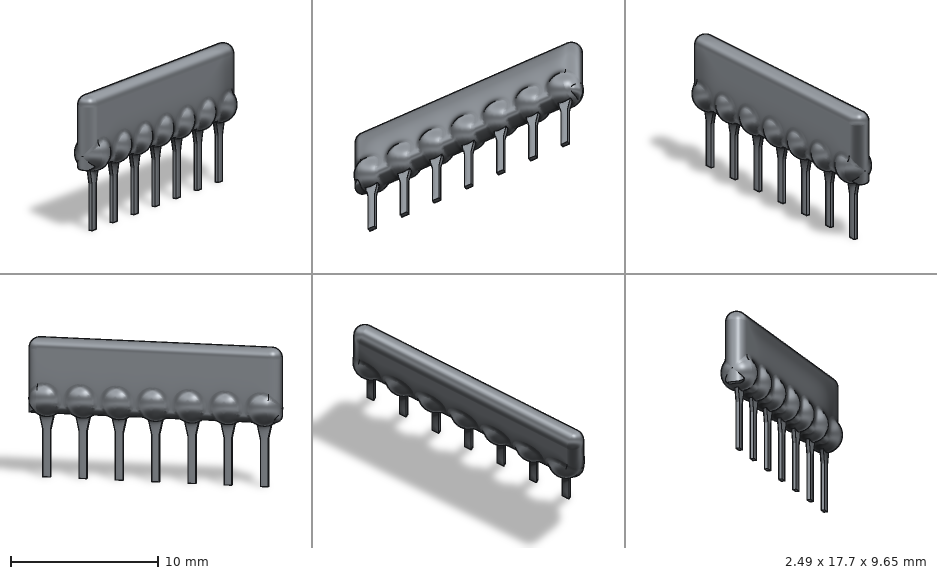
import cadquery as cq
pin_count = 7
pitch = 2.54
overall_height = 9.65
body_thickness = 1.52
bead_radius = 1.245
bead_to_top = 4.23
bead_to_bottom = 0.96
blend_radius = 0.5
bottom_edge_radius = 0.5
lead_width = 0.53
lead_thickness = 0.26
shoulder_width = 0.97
shoulder_top = -1.15
shoulder_bottom = -2.14
tangent_gap = 0.02

half_thickness = body_thickness / 2
half_row = (pin_count - 1) * pitch / 2
half_flat = half_row + bead_radius - half_thickness
round_top_start = bead_to_top - half_thickness
lead_tip = bead_to_top - overall_height
pin_positions = [index * pitch - half_row for index in range(pin_count)]


def block(y_min, y_max, z_min, z_max):
    """Box across the full thickness, used to keep one region of the part."""
    return cq.Workplane("XY").box(
        4 * bead_radius, y_max - y_min, z_max - z_min, centered=(True, False, False)
    ).translate((0, y_min, z_min))


def bead(y):
    return cq.Workplane("XY").sphere(bead_radius).translate((0, y, 0))


def body_bar(half_length):
    """Straight bar with a full-round top and rounded lower edges."""
    foot = half_thickness - bottom_edge_radius
    side_start = bottom_edge_radius - bead_to_bottom
    corner = bottom_edge_radius * (1 - 0.5 ** 0.5)
    corner_x = half_thickness - corner
    corner_z = corner - bead_to_bottom
    return (
        cq.Workplane("XZ")
        .moveTo(-foot, -bead_to_bottom)
        .lineTo(foot, -bead_to_bottom)
        .threePointArc((corner_x, corner_z), (half_thickness, side_start))
        .lineTo(half_thickness, round_top_start)
        .threePointArc((0, bead_to_top), (-half_thickness, round_top_start))
        .lineTo(-half_thickness, side_start)
        .threePointArc((-corner_x, corner_z), (-foot, -bead_to_bottom))
        .close()
        .extrude(half_length, both=True)
    )


def end_post(y):
    """Round post with a domed top that closes one end of the body."""
    height = round_top_start + bead_to_bottom
    post = cq.Workplane("XY").circle(half_thickness).extrude(height)
    dome = cq.Workplane("XY").sphere(half_thickness).translate((0, 0, height))
    return post.union(dome).translate((0, y, -bead_to_bottom))


def bead_outline_edges(solid):
    """Curved edges where beads meet the body: near the beads and on one side face only."""
    outline = []
    for edge in solid.edges().vals():
        box = edge.BoundingBox()
        on_one_side = box.xmin * box.xmax > 0 or box.xmax - box.xmin < body_thickness * 0.6
        if edge.geomType() != "LINE" and box.zmax < bead_radius and on_one_side:
            outline.append(edge)
    return outline


def beaded_middle():
    """Straight part of the body with every bead blended in.

    The bar is blended past both ends and then cut back to its straight length.
    """
    bar = body_bar(half_row + 2 * pitch)
    for y in pin_positions:
        bar = bar.union(bead(y))
    bar = bar.newObject(bead_outline_edges(bar)).fillet(blend_radius)
    return bar.intersect(block(-half_flat, half_flat, lead_tip, 2 * bead_to_top - lead_tip))


def end_bead_blend():
    """Upper outer quarter of the first bead, blended into the round end of the body."""
    flat = block(-half_flat, -half_row, 0, round_top_start).intersect(body_bar(half_flat))
    quarter = flat.union(end_post(-half_flat)).union(bead(-half_row))
    quarter = quarter.intersect(
        block(-half_row - pitch, -half_row, tangent_gap, round_top_start - tangent_gap)
    )
    outline = quarter.edges("%BSPLINE").vals()
    return quarter.newObject(outline).fillet(blend_radius)


def lead(y):
    """Flat lead: a tapered shoulder inside and below the bead, then a straight pin."""
    half_width = lead_width / 2
    half_shoulder = shoulder_width / 2
    return (
        cq.Workplane("YZ")
        .polyline([
            (half_shoulder, 0),
            (half_shoulder, shoulder_top),
            (half_width, shoulder_bottom),
            (half_width, lead_tip),
            (-half_width, lead_tip),
            (-half_width, shoulder_bottom),
            (-half_shoulder, shoulder_top),
            (-half_shoulder, 0),
        ])
        .close()
        .extrude(lead_thickness / 2, both=True)
        .translate((0, y, 0))
    )


near_post = end_post(-half_flat).intersect(body_bar(half_flat + pitch))
far_post = end_post(half_flat).faces("<Z").edges().fillet(bottom_edge_radius)
near_blend = end_bead_blend()

result = beaded_middle()
for piece in (near_post, far_post, bead(-half_row), bead(half_row), near_blend, near_blend.mirror("XZ")):
    result = result.union(piece)
for y in pin_positions:
    result = result.union(lead(y))